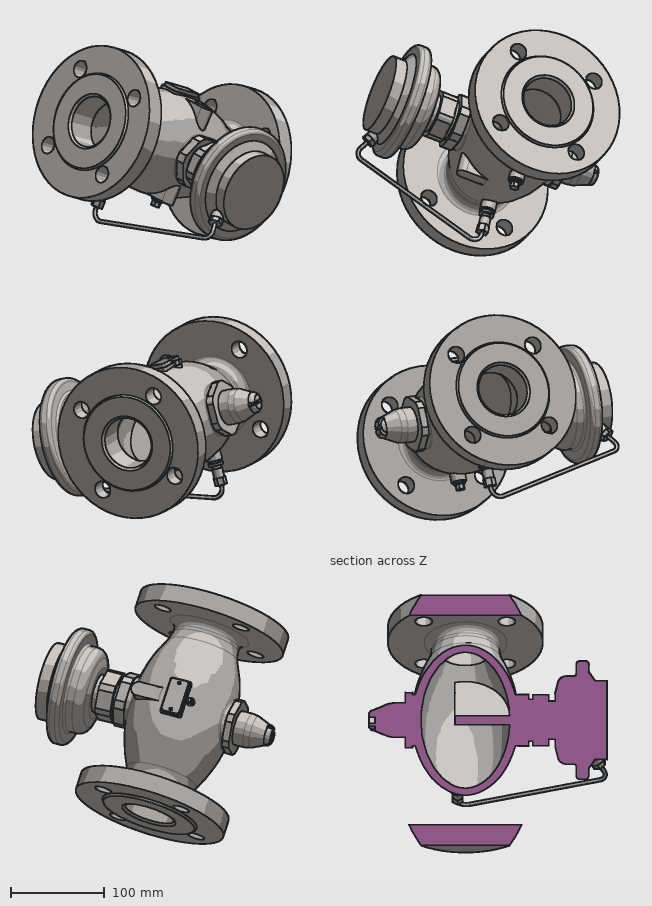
import cadquery as cq
import math

TILT = 30.5

FLANGE_R = 82.5
FLANGE_FACE = 115.0
FLANGE_T = 19.2
FLANGE_BACK = FLANGE_FACE - FLANGE_T
RAISED_R = 52.7
RAISED_H = 2.5
RAISED_CHAMFER = 1.7
BOLT_CIRCLE_R = 62.5
BOLT_HOLE_R = 9.0
NECK_R = 36.5
NECK_START = 77.5
NECK_BLEND = 22.5
FLARE_R = 44.0
FLARE_L = 9.0
BELLY_R = 57.0
EDGE_MARGIN = 0.5

BORE_R = 27.4
BORE_CHAMFER = 2.5
BORE_DEPTH = 33.8
WALL = 10.0
WEB_T = 8.5
WEB_TILT = 60.0
WEB_GAP_X = -11.3

BOSS_R = 27.4
BOSS_END = 56.0
BOSS_FILLET = 1.5
COVER_APOTHEM = 27.5
COVER_CORNER_R = 29.5
COVER_LEFT_T = 8.0
COVER_RIGHT_T = 11.5
SPINDLE_R = 18.5
SPINDLE_SHOULDER = 75.5
SPINDLE_TAPER = 82.3
SPINDLE_TAPER_R = 17.5
SPINDLE_TIP = 97.0
SPINDLE_TIP_R = 11.3
SPINDLE_END = 102.5
SPINDLE_END_R = 7.5
SLOT_W = 3.0
SLOT_DEPTH = 6.2
CROSS_SLOT_Y = 7.3

GROOVE_R = 22.5
UNION_START = 71.5
UNION_END = 88.8
UNION_APOTHEM = 25.5
UNION_CORNER_R = 27.4
STEM_R = 20.5
BELL_START = 95.3
BELL_FLAT_R = 28.2
BELL_SHOULDER_R = 38.0
BELL_SHOULDER = 97.8
BELL_R = 47.0
BELL_CORNER = 10.0
BELL_ROOT_FILLET = 2.5
RIM_START = 118.0
RIM_END = 131.7
RIM_R = 63.2
RIM_FILLET = 4.0
CONE_R = 51.3
CAP_START = 138.2
CAP_END = 150.9
CAP_R = 42.0

PLATE_X = -3.7
PLATE_W = 20.0
PLATE_L = 37.2
PLATE_TOP = 62.0
PLATE_CORNER = 2.5
PAD_MARGIN = 1.7
PAD_TOP = 58.0
PAD_DEPTH = 8.5
RIVET_SPACING = 30.2
RIVET_HOLE_D = 2.8
RIVET_HOLE_DEPTH = 2.3
CLIP_X = -19.7
CLIP_R = 2.3
CLIP_BASE_R = 4.2
CLIP_ROOT = 47.5
CLIP_BASE_TOP = 55.3
CLIP_TOP = 60.3
LUG_X = 14.0
LUG_END = 47.0
LUG_W = 15.2
LUG_TOP = 55.0
LUG_H = 25.5

PORT_X = -8.2
PORT_ROOT = 39.5
PORT_R = 8.2
PORT_END = 60.3
DRAIN_Y = 37.2
TAP_Y = -46.5

TUBE_R = 2.0
TUBE_ROOT = 81.8
TUBE_DROP_CORNER = (PORT_X, -92.0, -65.0)
TUBE_FAR_CORNER = (152.5, -61.8, -34.7)
TUBE_CAP_ROOT = (137.0, -38.3, -17.8)
DROP_BEND_R = 10.5
FAR_BEND_R = 7.5


def tilt(shape):
    return shape.rotate((0, 0, 0), (1, 0, 0), -TILT)


def turned_on_y(points):
    """Revolve a closed (radius, y) outline about Y."""
    return cq.Workplane("XY").polyline(points).close().revolve(360, (0, 0, 0), (0, 1, 0))


def disc_x(start, end, radius):
    """Cylinder on the X axis between two stations."""
    return cq.Workplane("YZ", origin=(start, 0, 0)).circle(radius).extrude(end - start)


def corner_radius(apothem):
    """Radius through the sharp corners of a hexagon."""
    return apothem / math.cos(math.pi / 6)


def hexagon_bar(plane, height, apothem, corner_r, turn=0):
    """Hexagon whose corners are turned down to a radius, extruded from a plane."""
    hexagon = cq.Workplane(plane).transformed(rotate=(0, 0, turn))
    hexagon = hexagon.polygon(6, 2 * corner_radius(apothem)).extrude(height)
    return hexagon.intersect(cq.Workplane(plane).circle(corner_r).extrude(height))


def hex_nut_x(start, end, apothem, corner_r, turn=0):
    """Hexagon on the X axis; flats face +-Z, or +-Y when turned by 90 degrees."""
    plane = cq.Plane(origin=(start, 0, 0), xDir=(0, 1, 0), normal=(1, 0, 0))
    return hexagon_bar(plane, end - start, apothem, corner_r, turn)


def barrel(mid_r, end_r, half_length):
    """Barrel about Y with a circular-arc side."""
    outline = (
        cq.Workplane("XY")
        .moveTo(0, -half_length)
        .lineTo(end_r, -half_length)
        .threePointArc((mid_r, 0), (end_r, half_length))
        .lineTo(0, half_length)
        .close()
    )
    return outline.revolve(360, (0, 0, 0), (0, 1, 0))


def box_around(half_width, y, half_length):
    """Selector for edges that lie wholly in a square box centred on the Y axis."""
    reach = half_width + EDGE_MARGIN / 2
    low = (-reach, y - half_length - EDGE_MARGIN, -reach)
    high = (reach, y + half_length + EDGE_MARGIN, reach)
    return cq.selectors.BoxSelector(low, high, boundingbox=True)


def end_flange(side):
    """Flared neck, flange disc, raised face and bolt holes at the -Y (-1) or +Y (+1) end."""
    raised_end = FLANGE_FACE + RAISED_H
    disc = turned_on_y([
        (0, side * FLANGE_BACK),
        (FLANGE_R, side * FLANGE_BACK),
        (FLANGE_R, side * FLANGE_FACE),
        (RAISED_R, side * FLANGE_FACE),
        (RAISED_R - RAISED_CHAMFER, side * raised_end),
        (0, side * raised_end),
    ])
    flare_h = FLARE_R - NECK_R
    flare_arc_r = (FLARE_L**2 + flare_h**2) / (2 * flare_h)
    neck = (
        cq.Workplane("XY")
        .moveTo(0, side * NECK_START)
        .lineTo(NECK_R, side * NECK_START)
        .lineTo(NECK_R, side * (FLANGE_BACK - FLARE_L))
        .radiusArc((FLARE_R, side * FLANGE_BACK), side * flare_arc_r)
        .lineTo(0, side * FLANGE_BACK)
        .close()
        .revolve(360, (0, 0, 0), (0, 1, 0))
    )
    holes = (
        cq.Workplane("XZ", origin=(0, side * FLANGE_FACE, 0))
        .polarArray(BOLT_CIRCLE_R, 45, 360, 4)
        .circle(BOLT_HOLE_R)
        .extrude(side * FLANGE_T)
    )
    return disc.cut(holes).union(neck)


def pipe_shell():
    """Belly with side bosses and both flanged ends, still without the passage."""
    shell = barrel(BELLY_R, NECK_R, NECK_START)
    shell = shell.union(disc_x(-BOSS_END, BOSS_END, BOSS_R))
    root_limit = BOSS_END - EDGE_MARGIN
    shell = shell.edges(box_around(root_limit, 0, BOSS_R)).fillet(BOSS_FILLET)
    for side in (-1, 1):
        shell = shell.union(end_flange(side))
    for side in (-1, 1):
        shell = shell.edges(box_around(NECK_R, side * NECK_START, EDGE_MARGIN)).fillet(NECK_BLEND)
    return shell


def passage():
    """Bores and inner chamber, leaving a slanted web in the chamber."""
    end = FLANGE_FACE + RAISED_H
    chamber_end = end - BORE_DEPTH
    chamber = barrel(BELLY_R - WALL, BORE_R, chamber_end)
    web = (
        cq.Workplane("XY")
        .box(2 * (BELLY_R - WEB_GAP_X), WEB_T, 4 * BELLY_R)
        .translate((BELLY_R, 0, 0))
        .rotate((0, 0, 0), (1, 0, 0), WEB_TILT)
    )
    space = chamber.cut(web)
    for side in (-1, 1):
        bore = turned_on_y([
            (0, side * chamber_end),
            (BORE_R, side * chamber_end),
            (BORE_R, side * (end - BORE_CHAMFER)),
            (BORE_R + BORE_CHAMFER, side * end),
            (0, side * end),
        ])
        space = space.union(bore)
    return space


def marking_plate():
    """Plate with two rivet holes on a slightly larger pad, and the clip beside it."""
    pad = (
        cq.Workplane("XY", origin=(PLATE_X, 0, PAD_TOP))
        .rect(PLATE_W + 2 * PAD_MARGIN, PLATE_L + 2 * PAD_MARGIN)
        .extrude(-PAD_DEPTH)
        .edges("|Z")
        .fillet(PLATE_CORNER)
    )
    plate = (
        cq.Workplane("XY", origin=(PLATE_X, 0, PAD_TOP))
        .rect(PLATE_W, PLATE_L)
        .extrude(PLATE_TOP - PAD_TOP)
        .edges("|Z")
        .fillet(PLATE_CORNER)
    )
    rivet_holes = (
        cq.Workplane("XY", origin=(PLATE_X, 0, PLATE_TOP))
        .pushPoints([(0, -RIVET_SPACING / 2), (0, RIVET_SPACING / 2)])
        .circle(RIVET_HOLE_D / 2)
        .extrude(-RIVET_HOLE_DEPTH)
    )
    root = cq.Workplane("XY", origin=(CLIP_X, 0, CLIP_ROOT))
    pin = root.circle(CLIP_R).extrude(CLIP_TOP - CLIP_ROOT)
    base = root.circle(CLIP_BASE_R).extrude(CLIP_BASE_TOP - CLIP_ROOT)
    arm = (
        cq.Workplane("XY", origin=(CLIP_X, 0, PAD_TOP))
        .rect(PLATE_X - CLIP_X, CLIP_R, centered=(False, True))
        .extrude(CLIP_TOP - PAD_TOP)
    )
    return pad.union(plate).cut(rivet_holes).union(pin).union(base).union(arm)


def lug():
    """Round-ended lug that starts flush with the top of the belly and runs toward +X."""
    nose = LUG_END - LUG_W / 2
    return (
        cq.Workplane("XY", origin=(0, 0, LUG_TOP))
        .moveTo(LUG_X, -LUG_W / 2)
        .lineTo(nose, -LUG_W / 2)
        .threePointArc((LUG_END, 0), (nose, LUG_W / 2))
        .lineTo(LUG_X, LUG_W / 2)
        .close()
        .extrude(-LUG_H)
    )


def stack_down(y, steps):
    """Stack of (radius, end depth) cylinders below the body at one port."""
    start = PORT_ROOT
    stack = cq.Workplane("XY")
    for radius, end in steps:
        step = cq.Workplane("XY", origin=(PORT_X, y, -start)).circle(radius).extrude(start - end)
        stack = stack.union(step)
        start = end
    return stack


def hex_down(y, start, end, apothem, turn=0):
    plane = cq.Plane(origin=(PORT_X, y, -start), xDir=(0, 1, 0), normal=(0, 0, -1))
    return hexagon_bar(plane, end - start, apothem, corner_radius(apothem), turn)


def drain_plug():
    hex_start = 63.7
    hex_end = 69.0
    hex_apothem = 4.2
    steps = [(PORT_R, PORT_END), (6.5, 62.3), (5.4, hex_start)]
    return stack_down(DRAIN_Y, steps).union(hex_down(DRAIN_Y, hex_start, hex_end, hex_apothem, 90))


def tube_tap():
    hex_start = 79.2
    hex_end = 87.5
    hex_apothem = 5.5
    steps = [(PORT_R, PORT_END), (5.4, 63.0), (8.0, 65.7), (4.5, 69.0), (5.5, hex_start)]
    return stack_down(TAP_Y, steps).union(hex_down(TAP_Y, hex_start, hex_end, hex_apothem))


def spindle():
    """Threaded-in cover, tapered spindle housing and the T-shaped slot in its end."""
    cover_end = BOSS_END + COVER_LEFT_T
    cover = hex_nut_x(-cover_end, -BOSS_END, COVER_APOTHEM, COVER_CORNER_R)
    housing = (
        cq.Workplane("XY")
        .moveTo(-BOSS_END, 0)
        .lineTo(-BOSS_END, SPINDLE_R)
        .lineTo(-SPINDLE_SHOULDER, SPINDLE_R)
        .lineTo(-SPINDLE_TAPER, SPINDLE_TAPER_R)
        .lineTo(-SPINDLE_TIP, SPINDLE_TIP_R)
        .radiusArc((-SPINDLE_END, SPINDLE_END_R), -(SPINDLE_END - SPINDLE_TIP))
        .lineTo(-SPINDLE_END, 0)
        .close()
        .revolve(360, (0, 0, 0), (1, 0, 0))
    )
    slot = (
        cq.Workplane("XY")
        .box(SLOT_DEPTH, 2 * SPINDLE_R, SLOT_W, centered=(False, False, True))
        .translate((-SPINDLE_END, -CROSS_SLOT_Y, 0))
    )
    cross_slot = (
        cq.Workplane("XY")
        .box(SLOT_DEPTH, SLOT_W, 2 * SPINDLE_R, centered=(False, True, True))
        .translate((-SPINDLE_END, -CROSS_SLOT_Y, 0))
    )
    return cover.union(housing.cut(tilt(slot.union(cross_slot))))


def actuator():
    """Cover nut, grooved stem, union nut, bell, rim disc and end cap along +X."""
    cover_end = BOSS_END + COVER_RIGHT_T
    body = hex_nut_x(BOSS_END, cover_end, COVER_APOTHEM, COVER_CORNER_R, 90)
    body = body.union(disc_x(cover_end, UNION_START, GROOVE_R))
    body = body.union(hex_nut_x(UNION_START, UNION_END, UNION_APOTHEM, UNION_CORNER_R))
    body = body.union(disc_x(UNION_END, BELL_START, STEM_R))
    bell = (
        cq.Workplane("XY")
        .moveTo(BELL_START, 0)
        .lineTo(BELL_START, BELL_FLAT_R)
        .lineTo(BELL_SHOULDER, BELL_SHOULDER_R)
        .radiusArc((BELL_SHOULDER + BELL_CORNER, BELL_R), BELL_CORNER)
        .lineTo(RIM_START, BELL_R)
        .lineTo(RIM_START, 0)
        .close()
        .revolve(360, (0, 0, 0), (1, 0, 0))
    )
    bell_root = (
        cq.Workplane("XY")
        .moveTo(RIM_START, BELL_R + BELL_ROOT_FILLET)
        .radiusArc((RIM_START - BELL_ROOT_FILLET, BELL_R), BELL_ROOT_FILLET)
        .lineTo(RIM_START, BELL_R)
        .close()
        .revolve(360, (0, 0, 0), (1, 0, 0))
    )
    rim = disc_x(RIM_START, RIM_END, RIM_R).edges().fillet(RIM_FILLET)
    cap = (
        cq.Workplane("XY")
        .moveTo(RIM_END, 0)
        .lineTo(RIM_END, CONE_R)
        .lineTo(CAP_START, CAP_R)
        .lineTo(CAP_END, CAP_R)
        .lineTo(CAP_END, 0)
        .close()
        .revolve(360, (0, 0, 0), (1, 0, 0))
    )
    return body.union(bell).union(bell_root).union(rim).union(cap)


def bend(before, corner, after, radius):
    """Start, middle and end of the arc that rounds a corner of a path."""
    into = (corner - before).normalized()
    out = (after - corner).normalized()
    half_turn = into.getAngle(out) / 2
    inward = (out - into).normalized()
    setback = radius * math.tan(half_turn)
    to_middle = radius / math.cos(half_turn) - radius
    return corner - into * setback, corner + inward * to_middle, corner + out * setback


def impulse_tube():
    """Bent tube from the tap under the body to the fitting on the actuator cone."""
    angle = math.radians(TILT)
    start = cq.Vector(
        PORT_X,
        TAP_Y * math.cos(angle) - TUBE_ROOT * math.sin(angle),
        -TAP_Y * math.sin(angle) - TUBE_ROOT * math.cos(angle),
    )
    low = cq.Vector(*TUBE_DROP_CORNER)
    far = cq.Vector(*TUBE_FAR_CORNER)
    finish = cq.Vector(*TUBE_CAP_ROOT)
    low_in, low_mid, low_out = bend(start, low, far, DROP_BEND_R)
    far_in, far_mid, far_out = bend(low, far, finish, FAR_BEND_R)
    path = cq.Wire.assembleEdges([
        cq.Edge.makeLine(start, low_in),
        cq.Edge.makeThreePointArc(low_in, low_mid, low_out),
        cq.Edge.makeLine(low_out, far_in),
        cq.Edge.makeThreePointArc(far_in, far_mid, far_out),
        cq.Edge.makeLine(far_out, finish),
    ])
    section = cq.Plane(origin=start.toTuple(), normal=(low - start).toTuple())
    return cq.Workplane(section).circle(TUBE_R).sweep(cq.Workplane("XY").add(path))


def cap_fitting():
    """Socket and hexagon nut where the tube enters the actuator cone."""
    socket_r = 6.8
    socket_l = 8.0
    nut_l = 5.0
    nut_apothem = 6.5
    root = cq.Vector(*TUBE_CAP_ROOT)
    axis = (cq.Vector(*TUBE_FAR_CORNER) - root).normalized()
    socket = cq.Workplane(cq.Plane(origin=root.toTuple(), normal=axis.toTuple()))
    socket = socket.circle(socket_r).extrude(socket_l)
    nut_plane = cq.Plane(origin=(root + axis * socket_l).toTuple(), normal=axis.toTuple())
    nut = hexagon_bar(nut_plane, nut_l, nut_apothem, corner_radius(nut_apothem))
    return socket.union(nut)


body = pipe_shell()
body = body.union(marking_plate()).union(lug()).union(lug().mirror("XY"))
body = body.union(drain_plug()).union(tube_tap())
body = body.cut(passage())

result = tilt(body).union(spindle()).union(actuator())
result = result.union(cap_fitting()).union(impulse_tube())